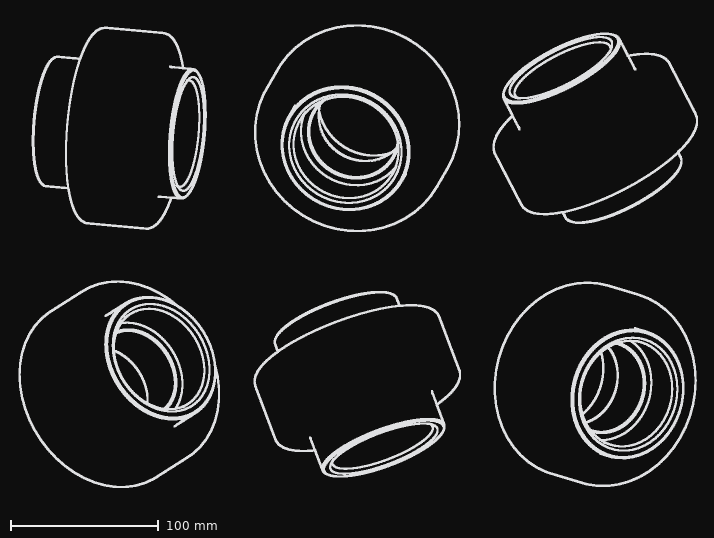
import cadquery as cq

total_length = 97.0
body_diameter = 133.0
body_length = 47.9
body_fillet = 4.0

hub_diameter = 88.0
long_hub_length = 29.1
hub_root_fillet = 4.0
hub_end_chamfer = 0.9

bore_diameter = 61.0
bore_chamfer = 0.8
socket_diameter = 72.2
socket_depth = 30.3
socket_mouth_chamfer = 2.5

left_end = -total_length / 2
body_left = left_end + long_hub_length
body_right = body_left + body_length


def make_outside():
    """Rounded body on a full-length hub, with filleted roots and chamfered ends."""
    hub_radius = hub_diameter / 2
    body_radius = body_diameter / 2
    right_end = left_end + total_length
    root_radius = hub_radius + hub_root_fillet
    return (
        cq.Workplane("XY")
        .moveTo(left_end, 0)
        .lineTo(left_end, hub_radius - hub_end_chamfer)
        .lineTo(left_end + hub_end_chamfer, hub_radius)
        .lineTo(body_left - hub_root_fillet, hub_radius)
        .radiusArc((body_left, root_radius), -hub_root_fillet)
        .lineTo(body_left, body_radius - body_fillet)
        .radiusArc((body_left + body_fillet, body_radius), body_fillet)
        .lineTo(body_right - body_fillet, body_radius)
        .radiusArc((body_right, body_radius - body_fillet), body_fillet)
        .lineTo(body_right, root_radius)
        .radiusArc((body_right + hub_root_fillet, hub_radius), -hub_root_fillet)
        .lineTo(right_end - hub_end_chamfer, hub_radius)
        .lineTo(right_end, hub_radius - hub_end_chamfer)
        .lineTo(right_end, 0)
        .close()
        .revolve(360, (0, 0, 0), (1, 0, 0))
    )


def socket_cutter():
    """Left-end socket with a flared mouth and a chamfer into the bore."""
    mouth_radius = socket_diameter / 2 + socket_mouth_chamfer
    ledge = left_end + socket_depth
    bore_radius = bore_diameter / 2
    return (
        cq.Workplane("XY")
        .moveTo(left_end, 0)
        .lineTo(left_end, mouth_radius)
        .lineTo(left_end + socket_mouth_chamfer, socket_diameter / 2)
        .lineTo(ledge, socket_diameter / 2)
        .lineTo(ledge, bore_radius + bore_chamfer)
        .lineTo(ledge + bore_chamfer, bore_radius)
        .lineTo(ledge + bore_chamfer, 0)
        .close()
        .revolve(360, (0, 0, 0), (1, 0, 0))
    )


bore = cq.Workplane("YZ").circle(bore_diameter / 2).extrude(total_length, both=True)
left_socket = socket_cutter()
right_socket = left_socket.mirror("YZ")
result = make_outside().cut(bore).cut(left_socket).cut(right_socket)